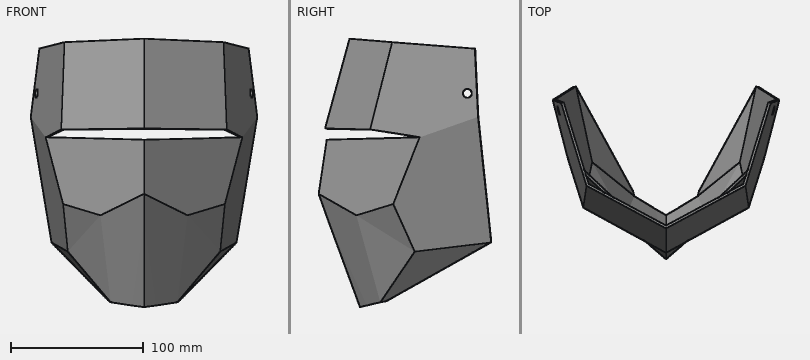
import cadquery as cq

WALL = 2.0
MIN_FRESH_DIRECTION = 0.1
HOLE_DIAMETER = 6.5
HOLE_Y = 112.2
HOLE_Z = 161.2
HOLE_REACH = 202.5

X_AXIS = (1, 0, 0)
Y_AXIS = (0, 1, 0)


def on_plane(point, plane_corners, axis):
    """Slide a point along an axis onto the plane through three corners."""
    origin, second, third = [cq.Vector(corner) for corner in plane_corners]
    normal = (second - origin).cross(third - origin)
    start = cq.Vector(point)
    direction = cq.Vector(axis)
    travel = (origin - start).dot(normal) / direction.dot(normal)
    return (start + direction * travel).toTuple()


BROW_TOP = (0, 23.3, 202.5)
BROW_BOTTOM = (0, 4.9, 134.9)
BROW_BOTTOM_SIDE = (62.4, 38.9, 134.0)
BROW_FRONT = (BROW_TOP, BROW_BOTTOM, BROW_BOTTOM_SIDE)
BROW_TOP_SIDE = on_plane((60.0, 54.9, 199.9), BROW_FRONT, Y_AXIS)

TEMPLE = (85.5, 120.0, 143.4)
BROW_SIDE = (BROW_TOP_SIDE, BROW_BOTTOM_SIDE, TEMPLE)
TEMPLE_TOP = on_plane((79.0, 117.7, 195.0), BROW_SIDE, X_AXIS)
EYE_CORNER = on_plane((74.5, 76.1, 128.0), BROW_SIDE, X_AXIS)

NOSE_BRIDGE = (0, 6.0, 126.4)
NOSE_TIP = (0, 0, 85.5)
NOSE_SIDE = (NOSE_BRIDGE, NOSE_TIP, EYE_CORNER)
CHEEK = on_plane((61.0, 56.0, 77.8), NOSE_SIDE, Y_AXIS)
MOUTH = on_plane((32.8, 29.0, 69.3), NOSE_SIDE, Y_AXIS)

CHEEK_SIDE = (TEMPLE, EYE_CORNER, CHEEK)
JAW = on_plane((57.1, 72.5, 42.0), CHEEK_SIDE, X_AXIS)
JAW_REAR = on_plane((69.5, 130.0, 48.8), CHEEK_SIDE, X_AXIS)

CHIN_CORNER = (25.1, 46.5, 3.6)
CHIN_REAR = on_plane((26.7, 51.0, 4.5), (JAW_REAR, JAW, CHIN_CORNER), X_AXIS)
MOUTH_SIDE = (NOSE_TIP, MOUTH, CHIN_CORNER)
CHIN_SIDE = on_plane((9.3, 36.7, 1.2), MOUTH_SIDE, Y_AXIS)
RIDGE = on_plane((0, 7.0, 65.8), MOUTH_SIDE, Y_AXIS)
CHIN = (0, 31.2, 0)

HALF_FACETS = [
    [BROW_TOP, BROW_BOTTOM, BROW_BOTTOM_SIDE, BROW_TOP_SIDE],
    [BROW_TOP_SIDE, BROW_BOTTOM_SIDE, EYE_CORNER, TEMPLE, TEMPLE_TOP],
    [TEMPLE, EYE_CORNER, CHEEK, JAW, JAW_REAR],
    [NOSE_BRIDGE, NOSE_TIP, MOUTH, CHEEK, EYE_CORNER],
    [CHEEK, MOUTH, JAW],
    [MOUTH, CHIN_CORNER, JAW],
    [MOUTH, NOSE_TIP, RIDGE, CHIN_SIDE, CHIN_CORNER],
    [RIDGE, CHIN, CHIN_SIDE],
    [JAW_REAR, JAW, CHIN_CORNER, CHIN_REAR],
]


def mirrored(facet):
    """Reflect a facet in the YZ plane, keeping its outward winding."""
    return [(-x, y, z) for x, y, z in reversed(facet)]


def edges_of(facet):
    return list(zip(facet, facet[1:] + facet[:1]))


def outward_normal(facet):
    """Area-averaged unit normal of a facet."""
    total = cq.Vector()
    for start, end in edges_of(facet):
        total += cq.Vector(start).cross(cq.Vector(end))
    return total.normalized()


def inward_offset(normals):
    """Shortest move that shifts every given plane inwards by the wall thickness.

    Planes that add almost no new direction to the earlier ones are passed over.
    """
    move = cq.Vector()
    directions = []
    for normal in normals:
        fresh = normal
        for direction in directions:
            fresh -= direction * normal.dot(direction)
        if fresh.Length > MIN_FRESH_DIRECTION:
            move -= fresh * ((WALL + normal.dot(move)) / fresh.dot(fresh))
            directions.append(fresh.normalized())
    return move


def inner_corners(facets):
    """Map each outer corner to its corner on the inner surface.

    Facets with the most corners come first, so that their inner faces stay flat.
    """
    normals_at = {}
    for facet in sorted(facets, key=len, reverse=True):
        for corner in facet:
            normals_at.setdefault(corner, []).append(outward_normal(facet))
    return {
        corner: (cq.Vector(corner) + inward_offset(normals)).toTuple()
        for corner, normals in normals_at.items()
    }


def flat_face(corners):
    return cq.Face.makeFromWires(cq.Wire.makePolygon([cq.Vector(c) for c in corners], close=True))


def straight_edge(start, end):
    return cq.Edge.makeLine(cq.Vector(start), cq.Vector(end))


def rim_faces(facets, inner):
    """Join the outer and inner surfaces along the open edges of the sheet."""
    edges = [edge for facet in facets for edge in edges_of(facet)]
    known = set(edges)
    return [
        cq.Face.makeRuledSurface(straight_edge(start, end), straight_edge(inner[start], inner[end]))
        for start, end in edges
        if (end, start) not in known
    ]


outer_facets = HALF_FACETS + [mirrored(facet) for facet in HALF_FACETS]
inner_corner = inner_corners(outer_facets)
inner_facets = [[inner_corner[corner] for corner in reversed(facet)] for facet in outer_facets]
faces = [flat_face(facet) for facet in outer_facets + inner_facets]
faces += rim_faces(outer_facets, inner_corner)
mask = cq.Solid.makeSolid(cq.Shell.makeShell(faces))

strap_holes = (
    cq.Workplane("YZ")
    .center(HOLE_Y, HOLE_Z)
    .circle(HOLE_DIAMETER / 2)
    .extrude(HOLE_REACH / 2, both=True)
)

result = cq.Workplane(mask).cut(strap_holes)